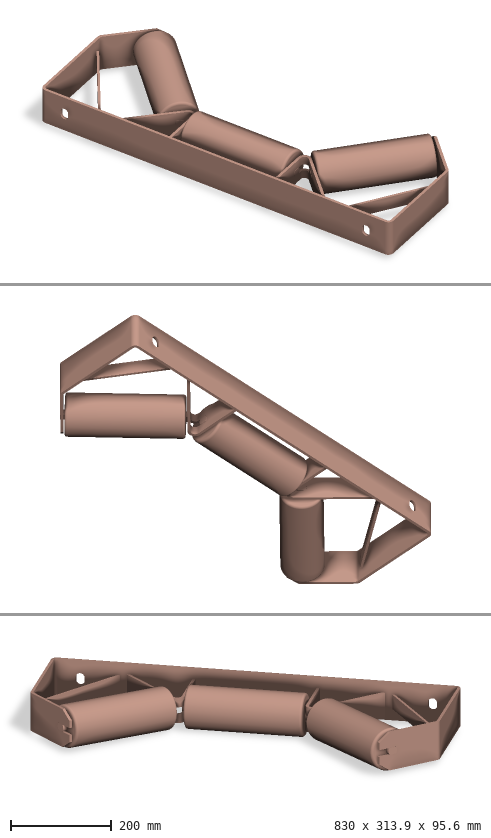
import cadquery as cq
import math

FRAME_WIDTH = 830.0
FRAME_DEPTH = 313.58
STRAP_HEIGHT = 80.0
PLATE = 6.0
STRAP_BEND_RADIUS = 12.0
UPPER_BEND_Y = 213.0
END_CHAMFER_ALONG = 25.0
END_CHAMFER_HEIGHT = 17.0
MOUNT_SLOT_X = 357.5
MOUNT_SLOT_WIDTH = 18.0
MOUNT_SLOT_HEIGHT = 25.0

ROLLER_DIAMETER = 88.0
ROLLER_LENGTH = 240.0
ROLLER_FILLET = 5.0
ROLLER_GAP = 3.0
SHAFT_DIAMETER = 20.0
SHAFT_FLATS = 14.0
SHAFT_PROTRUSION = 0.5
SLOT_CLEARANCE = 0.3

CENTRE_AXIS_Y = 98.5
LOW_SLOT_Z = 32.0
HIGH_SLOT_Z = STRAP_HEIGHT / 2
TROUGH_ANGLE = 45.0
SIDE_AXIS_OFFSET = 45.5

BRACKET_HEIGHT = 52.0
BRACKET_BEND_RADIUS = 15.0

STRUT_HEIGHT = 30.0
STRUT_THICKNESS = 5.0
STRUT_FOOT_X = 280.5
STRUT_TOP_Y = 195.5

CUT_DEPTH = 4 * PLATE
CUT_REACH = FRAME_DEPTH

HALF_WIDTH = FRAME_WIDTH / 2
ROOT2 = math.sqrt(2)
SPAN = ROLLER_LENGTH + 2 * ROLLER_GAP
LEG_FACE_X = SPAN / 2

WING_OUTER_SUM = HALF_WIDTH + UPPER_BEND_Y
WING_INNER_SUM = WING_OUTER_SUM - PLATE * ROOT2
DIAGONAL_FACE_SUM = WING_INNER_SUM - SPAN * ROOT2
DIAGONAL_BACK_SUM = DIAGONAL_FACE_SUM - PLATE * ROOT2


def mirrored(body):
    """Copy of a +X side body on the -X side."""
    return body.mirror("YZ")


def round_bends(plate, bends, mid_z):
    """Round the upright edges of a bent plate; bends lists ((x, y), radius)."""
    for (x, y), radius in bends:
        edge = cq.selectors.NearestToPointSelector((x, y, mid_z))
        plate = plate.edges("|Z").edges(edge).fillet(radius)
    return plate


def shaft_slot(x, y, z, angle, depth, length):
    """Cutter for an open-ended slot with its round bottom on the shaft at (x, y, z).

    The slot passes through a plate whose normal is at `angle` in plan, and
    runs `length` from the shaft axis along the direction angle + 90 degrees.
    """
    half = SHAFT_FLATS / 2 + SLOT_CLEARANCE
    radius = SHAFT_DIAMETER / 2 + SLOT_CLEARANCE
    corner = math.sqrt(radius**2 - half**2)
    return (
        cq.Workplane("YZ")
        .moveTo(length, half)
        .lineTo(-corner, half)
        .threePointArc((-radius, 0), (-corner, -half))
        .lineTo(length, -half)
        .close()
        .extrude(depth / 2, both=True)
        .rotate((0, 0, 0), (0, 0, 1), angle)
        .translate((x, y, z))
    )


def side_axis_point(face_sum):
    """Plan point where the +X side roller axis crosses x + y = face_sum."""
    return (face_sum + SIDE_AXIS_OFFSET) / 2, (face_sum - SIDE_AXIS_OFFSET) / 2


def build_frame():
    tip_outer = (WING_OUTER_SUM - FRAME_DEPTH, FRAME_DEPTH)
    tip_inner = (tip_outer[0] - PLATE / ROOT2, tip_outer[1] - PLATE / ROOT2)
    wing_outer = (HALF_WIDTH, UPPER_BEND_Y)
    wing_inner = (HALF_WIDTH - PLATE, WING_INNER_SUM - HALF_WIDTH + PLATE)
    foot_outer = (HALF_WIDTH, 0)
    foot_inner = (HALF_WIDTH - PLATE, PLATE)
    outside = [tip_outer, wing_outer, foot_outer]
    inside = [foot_inner, wing_inner, tip_inner]
    outline = (
        [(-x, y) for x, y in outside]
        + outside[::-1]
        + inside[::-1]
        + [(-x, y) for x, y in inside]
    )
    frame = cq.Workplane("XY").polyline(outline).close().extrude(STRAP_HEIGHT)

    bend_inside = STRAP_BEND_RADIUS - PLATE
    for side in (1, -1):
        bends = [
            ((side * foot_outer[0], foot_outer[1]), STRAP_BEND_RADIUS),
            ((side * foot_inner[0], foot_inner[1]), bend_inside),
            ((side * wing_outer[0], wing_outer[1]), STRAP_BEND_RADIUS),
            ((side * wing_inner[0], wing_inner[1]), bend_inside),
        ]
        frame = round_bends(frame, bends, STRAP_HEIGHT / 2)

    slot_x, slot_y = side_axis_point(WING_OUTER_SUM - PLATE / ROOT2)
    notch = shaft_slot(slot_x, slot_y, HIGH_SLOT_Z, TROUGH_ANGLE, CUT_DEPTH, CUT_REACH)
    corners = tip_corner_cutter(tip_outer)
    for cutter in (notch, corners):
        frame = frame.cut(cutter).cut(mirrored(cutter))

    mounting_slots = (
        cq.Workplane("XZ", origin=(0, 0, STRAP_HEIGHT / 2))
        .pushPoints([(-MOUNT_SLOT_X, 0), (MOUNT_SLOT_X, 0)])
        .slot2D(MOUNT_SLOT_HEIGHT, MOUNT_SLOT_WIDTH, 90)
        .extrude(-CUT_DEPTH)
    )
    return frame.cut(mounting_slots)


def tip_corner_cutter(tip):
    """Triangles that bevel the upper and lower corner of the +X wing tip."""
    along, up = END_CHAMFER_ALONG, END_CHAMFER_HEIGHT
    upper = [(0, STRAP_HEIGHT), (-along, STRAP_HEIGHT), (0, STRAP_HEIGHT - up)]
    lower = [(0, 0), (-along, 0), (0, up)]
    return (
        cq.Workplane("YZ")
        .polyline(upper)
        .close()
        .polyline(lower)
        .close()
        .extrude(CUT_DEPTH / 2, both=True)
        .rotate((0, 0, 0), (0, 0, 1), TROUGH_ANGLE)
        .translate((tip[0], tip[1], 0))
    )


def build_bracket():
    """+X bracket: an upright leg beside the centre roller, bent over into a diagonal leg."""
    back_x = LEG_FACE_X + PLATE
    bend_outer = (LEG_FACE_X, DIAGONAL_FACE_SUM - LEG_FACE_X)
    bend_inner = (back_x, DIAGONAL_BACK_SUM - back_x)
    foot_back = (DIAGONAL_BACK_SUM - PLATE, PLATE)
    foot_face = (foot_back[0] + PLATE / ROOT2, foot_back[1] + PLATE / ROOT2)
    outline = [(LEG_FACE_X, PLATE), bend_outer, foot_face, foot_back, bend_inner, (back_x, PLATE)]
    bends = [
        (bend_outer, BRACKET_BEND_RADIUS),
        (bend_inner, BRACKET_BEND_RADIUS - PLATE),
    ]
    base_z = LOW_SLOT_Z - BRACKET_HEIGHT / 2
    bracket = (
        cq.Workplane("XY", origin=(0, 0, base_z))
        .polyline(outline)
        .close()
        .extrude(BRACKET_HEIGHT)
    )
    bracket = round_bends(bracket, bends, LOW_SLOT_Z)

    leg_x = LEG_FACE_X + PLATE / 2
    leg_slot = shaft_slot(leg_x, CENTRE_AXIS_Y, LOW_SLOT_Z, 0, CUT_DEPTH, CUT_REACH)
    side_x, side_y = side_axis_point(DIAGONAL_FACE_SUM - PLATE / ROOT2)
    side_slot = shaft_slot(side_x, side_y, LOW_SLOT_Z, TROUGH_ANGLE, CUT_DEPTH, CUT_REACH)
    return bracket.cut(leg_slot).cut(side_slot)


def build_strut():
    """+X strut: a straight flat bar with square ends whose corners meet the strap."""
    foot = (STRUT_FOOT_X, PLATE)
    top = (HALF_WIDTH - PLATE, STRUT_TOP_Y)
    rise = math.atan2(top[1] - foot[1], top[0] - foot[0])
    shift_x = -STRUT_THICKNESS * math.sin(rise)
    shift_y = STRUT_THICKNESS * math.cos(rise)
    upper_side = [(x + shift_x, y + shift_y) for x, y in (top, foot)]
    return (
        cq.Workplane("XY", origin=(0, 0, (STRAP_HEIGHT - STRUT_HEIGHT) / 2))
        .polyline([foot, top] + upper_side)
        .close()
        .extrude(STRUT_HEIGHT)
    )


def build_roller():
    """Roller along X about the origin, with a flatted shaft end on each side."""
    shell = (
        cq.Workplane("YZ", origin=(-ROLLER_LENGTH / 2, 0, 0))
        .circle(ROLLER_DIAMETER / 2)
        .extrude(ROLLER_LENGTH)
        .edges("%CIRCLE")
        .fillet(ROLLER_FILLET)
    )
    shaft_half_length = SPAN / 2 + PLATE + SHAFT_PROTRUSION
    shaft = cq.Workplane("YZ").circle(SHAFT_DIAMETER / 2).extrude(shaft_half_length, both=True)
    flats = cq.Workplane("XY").box(2 * shaft_half_length, SHAFT_DIAMETER, SHAFT_FLATS)
    return shell.union(shaft.intersect(flats))


def build_side_roller():
    """+X side roller: turned to the trough angle, its outer end raised to the wing notch."""
    tilt = math.degrees(math.atan2(HIGH_SLOT_Z - LOW_SLOT_Z, SPAN + PLATE))
    middle_x, middle_y = side_axis_point((WING_INNER_SUM + DIAGONAL_FACE_SUM) / 2)
    return (
        build_roller()
        .rotate((0, 0, 0), (0, 1, 0), -tilt)
        .rotate((0, 0, 0), (0, 0, 1), TROUGH_ANGLE)
        .translate((middle_x, middle_y, (HIGH_SLOT_Z + LOW_SLOT_Z) / 2))
    )


frame = build_frame()
centre_roller = build_roller().translate((0, CENTRE_AXIS_Y, LOW_SLOT_Z))
bodies = [frame.val(), centre_roller.val()]
for build_side_body in (build_bracket, build_strut, build_side_roller):
    body = build_side_body()
    bodies += [body.val(), mirrored(body).val()]

result = cq.Compound.makeCompound(bodies)